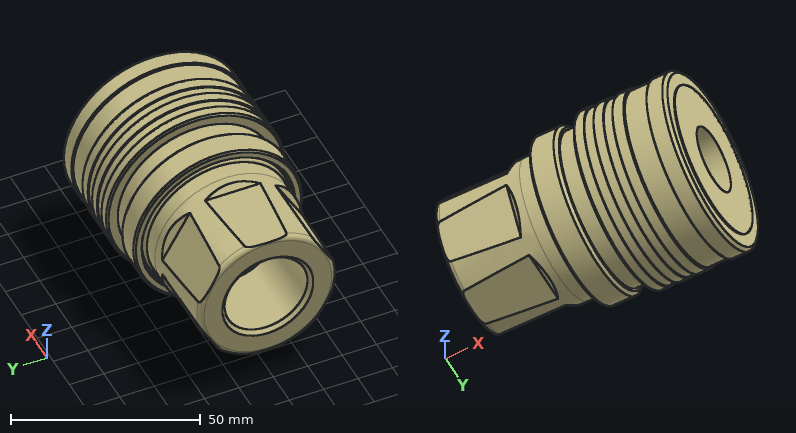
import cadquery as cq
import math


length = 73.0
flat_end = 21.9
taper_end = 26.0
collar_start = 30.9
collar_end = 39.3
sleeve_start = 44.8
sleeve_end = 72.7

nose_radius = 20.0
barrel_radius = 20.8
collar_radius = 24.5
neck_radius = 22.8
sleeve_radius = 26.0
end_disc_radius = 21.4

nose_round = 1.45
front_chamfer = 0.5
rear_chamfer = 1.0

flat_count = 6
flat_distance = 19.05
flat_width = 2 * flat_distance * math.tan(math.pi / flat_count)

bore_radius = 9.4
socket_radius = 12.05
socket_depth = 21.9
socket_chamfer = 1.2

recess_radius = 22.35
recess_depth = 1.45
shoulder_round = 0.8
shoulder_radius = barrel_radius + shoulder_round

grip_grooves = [(48.1, 51.0), (53.95, 56.7)]
grip_groove_depth = 0.4
band_start = 60.0
band_end = 66.95
band_depth = 0.5
band_wall_slope = 0.2


def revolve_profile(profile):
    """Turn a closed (X, radius) profile about the X axis."""
    return profile.close().revolve(360, (0, 0, 0), (1, 0, 0))


def make_body():
    """Solid outer shape: tapered nose, barrel, collar, neck and sleeve."""
    arc_inset = nose_round * (1 - math.sqrt(0.5))
    return revolve_profile(
        cq.Workplane("XY")
        .moveTo(0, 0)
        .lineTo(0, nose_radius - nose_round)
        .threePointArc((arc_inset, nose_radius - arc_inset), (nose_round, nose_radius))
        .lineTo(taper_end, barrel_radius)
        .lineTo(collar_start, barrel_radius)
        .lineTo(collar_start, collar_radius - front_chamfer)
        .lineTo(collar_start + front_chamfer, collar_radius)
        .lineTo(collar_end - rear_chamfer, collar_radius)
        .lineTo(collar_end, collar_radius - rear_chamfer)
        .lineTo(collar_end, neck_radius)
        .lineTo(sleeve_start, neck_radius)
        .lineTo(sleeve_start, sleeve_radius - front_chamfer)
        .lineTo(sleeve_start + front_chamfer, sleeve_radius)
        .lineTo(sleeve_end - rear_chamfer, sleeve_radius)
        .lineTo(sleeve_end, sleeve_radius - rear_chamfer)
        .lineTo(sleeve_end, end_disc_radius)
        .lineTo(length, end_disc_radius)
        .lineTo(length, 0)
    )


def make_flat_cutter():
    """Material above one flat, ending in a 45 degree run-out."""
    cut_height = collar_radius - flat_distance
    profile = (
        cq.Workplane("XZ")
        .moveTo(0, flat_distance)
        .lineTo(flat_end, flat_distance)
        .lineTo(flat_end + cut_height, flat_distance + cut_height)
        .lineTo(0, flat_distance + cut_height)
        .close()
    )
    return profile.extrude(flat_width / 2, both=True)


def make_bore():
    """Through bore with a chamfered socket at the nose."""
    return revolve_profile(
        cq.Workplane("XY")
        .moveTo(0, 0)
        .lineTo(0, socket_radius + socket_chamfer)
        .lineTo(socket_chamfer, socket_radius)
        .lineTo(socket_depth, socket_radius)
        .lineTo(socket_depth, bore_radius)
        .lineTo(length, bore_radius)
        .lineTo(length, 0)
    )


def make_collar_recess():
    """Ring-shaped recess whose inner wall starts with a convex round."""
    arc_inset = shoulder_round * (1 - math.sqrt(0.5))
    return revolve_profile(
        cq.Workplane("XY")
        .moveTo(collar_start, barrel_radius)
        .threePointArc(
            (collar_start + arc_inset, shoulder_radius - arc_inset),
            (collar_start + shoulder_round, shoulder_radius),
        )
        .lineTo(collar_start + recess_depth, shoulder_radius)
        .lineTo(collar_start + recess_depth, recess_radius)
        .lineTo(collar_start, recess_radius)
    )


def make_groove(start, end, depth, wall_slope=0.0):
    """Ring cut into the sleeve; wall_slope is how far each wall leans inward."""
    floor_radius = sleeve_radius - depth
    return revolve_profile(
        cq.Workplane("XY")
        .moveTo(start, sleeve_radius)
        .lineTo(start + wall_slope, floor_radius)
        .lineTo(end - wall_slope, floor_radius)
        .lineTo(end, sleeve_radius)
    )


result = make_body()

flat_cutter = make_flat_cutter()
for index in range(flat_count):
    angle = index * 360 / flat_count
    result = result.cut(flat_cutter.rotate((0, 0, 0), (1, 0, 0), angle))

for groove_start, groove_end in grip_grooves:
    result = result.cut(make_groove(groove_start, groove_end, grip_groove_depth))
result = result.cut(make_groove(band_start, band_end, band_depth, band_wall_slope))

result = result.cut(make_collar_recess())
result = result.cut(make_bore())